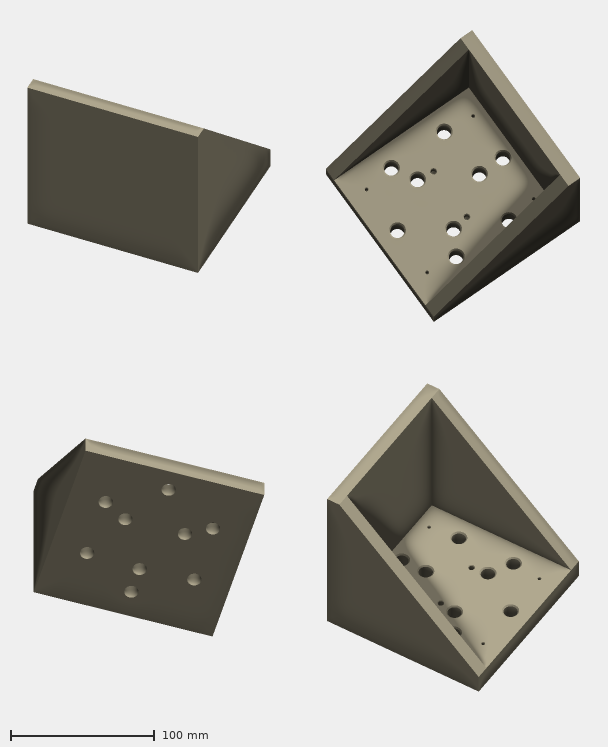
import cadquery as cq
import math

width = 130.0
depth = 125.0
height = 125.0

front_wall = 10.0
side_wall = 10.0
base_thickness = 15.0

pattern_center_y = 65.0
bolt_diameter = 10.0
bolt_chamfer = 1.0
outer_circle_radius = 45.0
outer_hole_angles = [30, 90, 150, 210, 270, 330]
inner_circle_radius = 25.0
inner_hole_angles = [30, 150, 270]

drill_point_angle = 118.0
dowel_diameter = 4.0
dowel_depth = 6.0
dowel_chamfer = 0.5
dowel_offset_x = 20.0
screw_diameter = 2.2
screw_depth = 6.0
screw_chamfer = 0.4
screw_offset_x = 36.5
screw_offset_y = 45.5


def make_bracket():
    """Angle bracket: base, front wall and two sloping side walls."""
    side_profile = [
        (0, 0),
        (depth, 0),
        (depth, base_thickness),
        (front_wall, height),
        (0, height),
    ]
    block = cq.Workplane("YZ").polyline(side_profile).close().extrude(width / 2, both=True)
    cavity = cq.Workplane("XY").box(
        width - 2 * side_wall,
        depth - front_wall,
        height - base_thickness,
        centered=(True, False, False),
    )
    return block.cut(cavity.translate((0, front_wall, base_thickness)))


def circle_points(radius, angles):
    """Points at the given angles on a circle around the pattern centre."""
    return [
        (
            radius * math.cos(math.radians(angle)),
            pattern_center_y + radius * math.sin(math.radians(angle)),
        )
        for angle in angles
    ]


def through_hole_tool(diameter, chamfer):
    """Cutter through the base, with its axis on Z and a chamfered mouth."""
    radius = diameter / 2
    profile = [
        (0, 0),
        (radius, 0),
        (radius, base_thickness - chamfer),
        (radius + chamfer, base_thickness),
        (0, base_thickness),
    ]
    return cq.Workplane("XZ").polyline(profile).close().revolve(360, (0, 0), (0, 1))


def blind_hole_tool(diameter, hole_depth, chamfer):
    """Cutter into the base top, with a drill-point bottom and a chamfered mouth."""
    radius = diameter / 2
    shoulder = base_thickness - hole_depth
    tip = shoulder - radius / math.tan(math.radians(drill_point_angle / 2))
    profile = [
        (0, tip),
        (radius, shoulder),
        (radius, base_thickness - chamfer),
        (radius + chamfer, base_thickness),
        (0, base_thickness),
    ]
    return cq.Workplane("XZ").polyline(profile).close().revolve(360, (0, 0), (0, 1))


def cut_at(body, tool, points):
    """Cut one copy of the tool at each XY point."""
    for x, y in points:
        body = body.cut(tool.translate((x, y, 0)))
    return body


bolt_points = circle_points(outer_circle_radius, outer_hole_angles)
bolt_points += circle_points(inner_circle_radius, inner_hole_angles)
dowel_points = [(side * dowel_offset_x, pattern_center_y) for side in (-1, 1)]
screw_points = [
    (x_side * screw_offset_x, pattern_center_y + y_side * screw_offset_y)
    for x_side in (-1, 1)
    for y_side in (-1, 1)
]

result = make_bracket()
result = cut_at(result, through_hole_tool(bolt_diameter, bolt_chamfer), bolt_points)
result = cut_at(result, blind_hole_tool(dowel_diameter, dowel_depth, dowel_chamfer), dowel_points)
result = cut_at(result, blind_hole_tool(screw_diameter, screw_depth, screw_chamfer), screw_points)